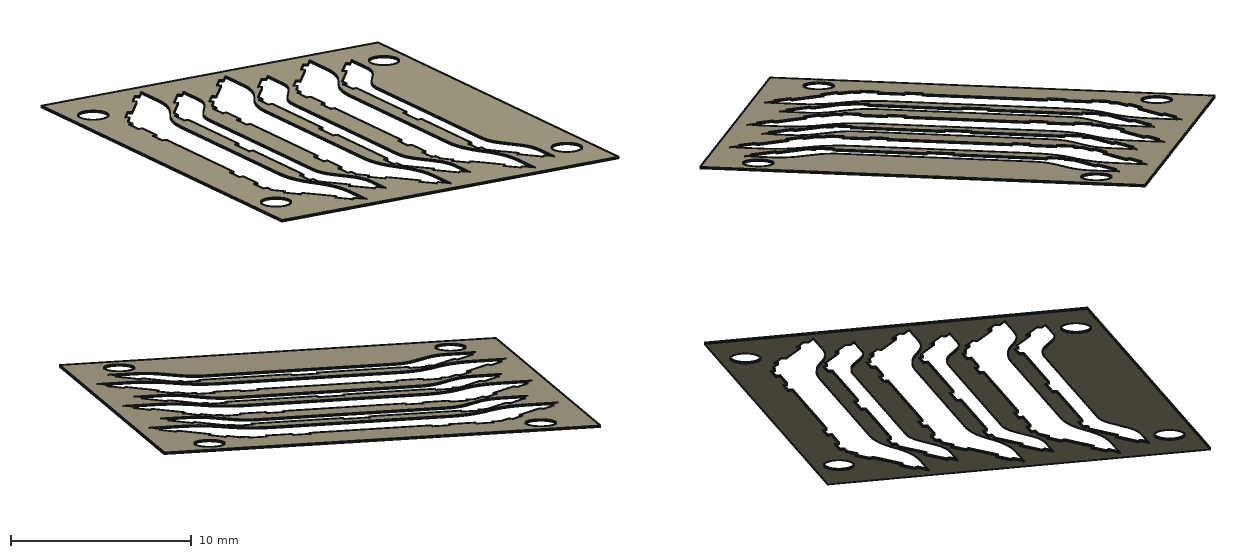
import cadquery as cq
import math

PLATE_X = 25.0
PLATE_Y = 22.0
PLATE_THICKNESS = 0.1

HOLE_DIAMETER = 1.7
HOLE_SPACING = 19.0

ROW_COUNT = 3
ROW_PITCH = 5.5
NARROW_FLOOR_Y = 5.5
WIDE_FLOOR_Y = 2.5
NARROW_HEIGHT = 1.0
WIDE_HEIGHT = 2.0
FLOOR_HALF_LENGTH = 7.5

FLANK_ANGLE = 40.0
WIDE_FLANK_LENGTH = 5.5
END_RISE = WIDE_FLANK_LENGTH * math.sin(math.radians(FLANK_ANGLE)) - WIDE_HEIGHT

NARROW_BEND_RADIUS = 2.25
NARROW_BEND_ANGLE = 36.0
NARROW_BEND_X = 7.18
WIDE_BEND_RADIUS = 4.0
WIDE_BEND_ANGLE = 33.0
WIDE_BEND_X = 7.5

NOTCH_DEPTH = 0.25
SHORT_NOTCH = 1.0
LONG_NOTCH = 1.5
OUTER_NOTCH_X = 6.5
INNER_NOTCH_X = 4.0
NARROW_FLANK_NOTCH = 2.62
WIDE_FLANK_NOTCH_SPACING = 3.0


def slot_body(height, bend_radius, bend_angle, bend_x):
    """Slot with upturned ends, its floor on Y = 0, centred on X = 0."""
    tip_y = height + END_RISE
    tip_x = FLOOR_HALF_LENGTH + tip_y / math.tan(math.radians(FLANK_ANGLE))

    bend = math.radians(bend_angle)
    half_run = END_RISE / math.tan(bend) / 2 + bend_radius * math.tan(bend / 2)
    inner_x = bend_x - half_run
    outer_x = bend_x + half_run

    def arc_offset(angle):
        """Run and rise along a bend arc after it has turned by the angle."""
        return bend_radius * math.sin(angle), bend_radius * (1 - math.cos(angle))

    mid_run, mid_rise = arc_offset(bend / 2)
    end_run, end_rise = arc_offset(bend)

    right_half = (
        cq.Workplane("XY")
        .lineTo(FLOOR_HALF_LENGTH, 0)
        .lineTo(tip_x, tip_y)
        .lineTo(outer_x, tip_y)
        .threePointArc((outer_x - mid_run, tip_y - mid_rise), (outer_x - end_run, tip_y - end_rise))
        .lineTo(inner_x + end_run, height + end_rise)
        .threePointArc((inner_x + mid_run, height + mid_rise), (inner_x, height))
        .lineTo(0, height)
        .close()
        .extrude(PLATE_THICKNESS)
    )
    return right_half.union(right_half.mirror("YZ"))


def notch(length):
    """Notch block centred on the origin, reaching the notch depth to either side of Y = 0."""
    return cq.Workplane("XY").box(length, 2 * NOTCH_DEPTH, PLATE_THICKNESS, centered=(True, True, False))


def floor_notch(x):
    return notch(SHORT_NOTCH).translate((x, 0, 0))


def flank_notch(length, distance):
    """Notch in the right flank, centred at a distance up from the floor corner."""
    along_flank = notch(length).translate((distance, 0, 0))
    return along_flank.rotate((0, 0, 0), (0, 0, 1), FLANK_ANGLE).translate((FLOOR_HALF_LENGTH, 0, 0))


def add_on_both_sides(slot, right_notches):
    """Join the right-hand notches and their mirror images to a slot."""
    for block in right_notches:
        slot = slot.union(block).union(block.mirror("YZ"))
    return slot


def narrow_slot():
    body = slot_body(NARROW_HEIGHT, NARROW_BEND_RADIUS, NARROW_BEND_ANGLE, NARROW_BEND_X)
    right_notches = [
        floor_notch(OUTER_NOTCH_X),
        flank_notch(LONG_NOTCH, NARROW_FLANK_NOTCH),
    ]
    middle_notch = notch(LONG_NOTCH)
    return add_on_both_sides(body.union(middle_notch), right_notches)


def wide_slot():
    body = slot_body(WIDE_HEIGHT, WIDE_BEND_RADIUS, WIDE_BEND_ANGLE, WIDE_BEND_X)
    right_notches = [
        floor_notch(INNER_NOTCH_X),
        floor_notch(OUTER_NOTCH_X),
        flank_notch(SHORT_NOTCH, (WIDE_FLANK_LENGTH - WIDE_FLANK_NOTCH_SPACING) / 2),
        flank_notch(SHORT_NOTCH, (WIDE_FLANK_LENGTH + WIDE_FLANK_NOTCH_SPACING) / 2),
    ]
    return add_on_both_sides(body, right_notches)


plate = (
    cq.Workplane("XY")
    .box(PLATE_X, PLATE_Y, PLATE_THICKNESS, centered=(True, True, False))
    .faces(">Z")
    .workplane()
    .rect(HOLE_SPACING, HOLE_SPACING, forConstruction=True)
    .vertices()
    .hole(HOLE_DIAMETER)
)

narrow = narrow_slot()
wide = wide_slot()
for row in range(ROW_COUNT):
    drop = row * ROW_PITCH
    plate = plate.cut(narrow.translate((0, NARROW_FLOOR_Y - drop, 0)))
    plate = plate.cut(wide.translate((0, WIDE_FLOOR_Y - drop, 0)))

result = plate